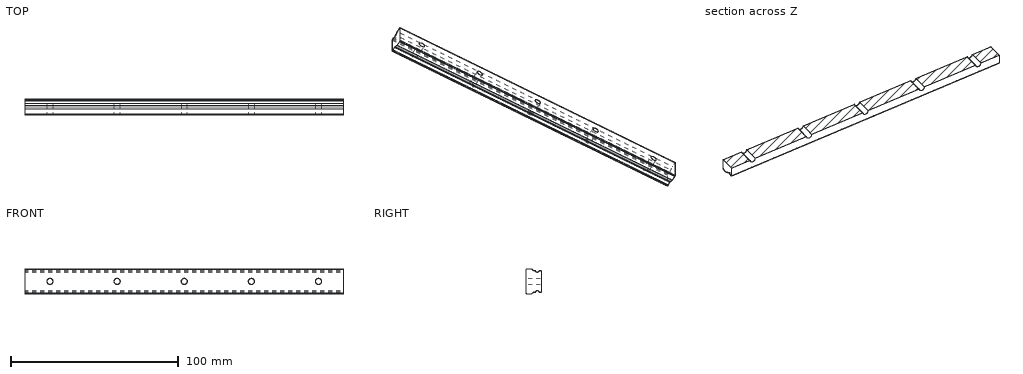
import cadquery as cq
import math

length = 190.0
height = 9.5
base_width = 15.0
head_width = 13.0

base_y = -height / 2
head_y = height / 2
edge_chamfer = 0.5
shoulder_y = -1.2
slope_angle = math.radians(45)
shoulder_fillet = 1.0
groove_near_y = 0.9
groove_far_y = 3.5
groove_root_y = 2.0
groove_depth = 1.1
arc_bulge = 0.12

hole_diameter = 3.5
hole_pitch = 40.0
hole_count = 5


def arc_middle(start, end, bulge):
    """Point on an arc midway from start to end, offset to the right of travel."""
    step_y = end[0] - start[0]
    step_z = end[1] - start[1]
    chord = math.hypot(step_y, step_z)
    middle_y = (start[0] + end[0]) / 2 + bulge * step_z / chord
    middle_z = (start[1] + end[1]) / 2 - bulge * step_y / chord
    return (middle_y, middle_z)


def half_rail():
    """Upper half of the rail (Z above zero), extruded along X."""
    base_z = base_width / 2
    head_z = head_width / 2

    corner_y = shoulder_y + (base_z - head_z) / math.tan(slope_angle)
    setback = shoulder_fillet * math.tan(slope_angle / 2)
    fillet_start = (
        corner_y - setback * math.cos(slope_angle),
        head_z + setback * math.sin(slope_angle),
    )
    fillet_end = (corner_y + setback, head_z)
    fillet_sagitta = shoulder_fillet * (1 - math.cos(slope_angle / 2))

    groove_near = (groove_near_y, head_z)
    groove_root = (groove_root_y, head_z - groove_depth)
    groove_far = (groove_far_y, head_z)

    return (
        cq.Workplane("YZ", origin=(-length / 2, 0, 0))
        .moveTo(base_y, 0)
        .lineTo(base_y, base_z - edge_chamfer)
        .lineTo(base_y + edge_chamfer, base_z)
        .lineTo(shoulder_y, base_z)
        .lineTo(*fillet_start)
        .threePointArc(arc_middle(fillet_start, fillet_end, fillet_sagitta), fillet_end)
        .lineTo(*groove_near)
        .threePointArc(arc_middle(groove_near, groove_root, arc_bulge), groove_root)
        .threePointArc(arc_middle(groove_root, groove_far, arc_bulge), groove_far)
        .lineTo(head_y - edge_chamfer, head_z)
        .lineTo(head_y, head_z - edge_chamfer)
        .lineTo(head_y, 0)
        .close()
        .extrude(length)
    )


def mounting_holes():
    """Row of through holes along Y, centred on the rail."""
    return (
        cq.Workplane("XZ", origin=(0, head_y, 0))
        .rarray(hole_pitch, 1, hole_count, 1)
        .circle(hole_diameter / 2)
        .extrude(height)
    )


upper_half = half_rail()
rail = upper_half.union(upper_half.mirror("XY")).clean()
result = rail.cut(mounting_holes())